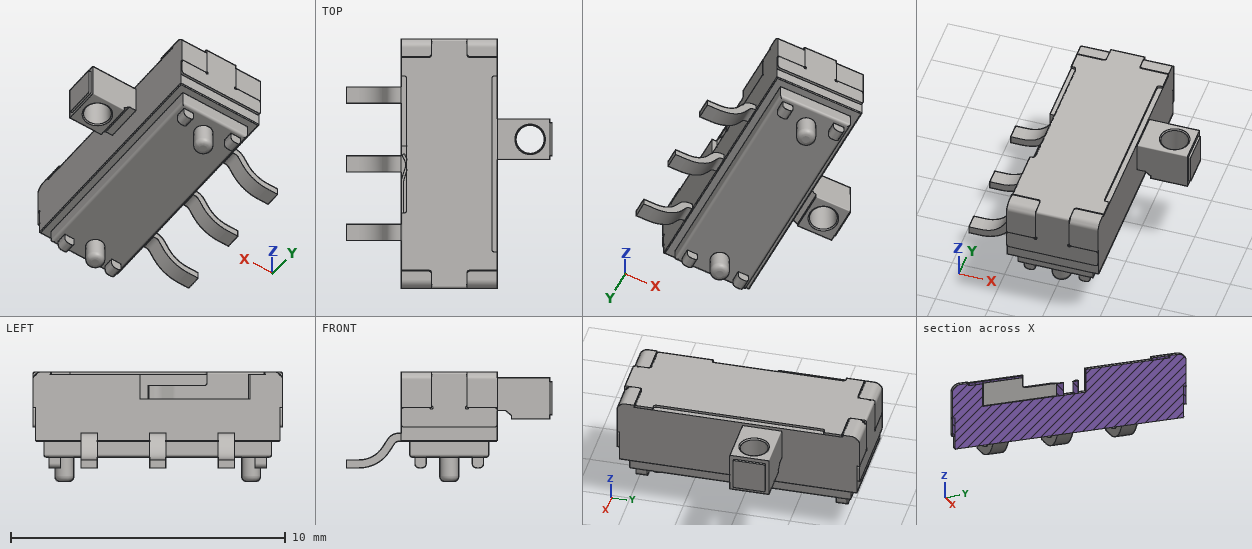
import cadquery as cq
import math


width = 3.5
length = 9.1
top_z = 3.5
sheet = 0.09
half_width = width / 2
half_length = length / 2
body_half_length = half_length - sheet
body_top_z = top_z - sheet
flange_z = 0.97
flange_chamfer = 0.04
bend_clearance = 0.055

base_width = 2.885
base_length = 8.3
base_z = 0.39
base_fillet = 0.1
foot_width = 0.42
foot_length = 0.42
foot_fillet = 0.16
foot_x = 1.05
foot_y = 3.76
peg_diameter = 0.7
peg_y = 3.4
peg_end_z = -0.5
peg_fillet = 0.2

tab_width = 1.29
window_length = 0.67
window_bottom_z = 2.2
window_corner_radius = 0.1
post_gap = 0.04
post_upper_radius = 0.28
post_lower_radius = 0.2
post_flat = 0.055
relief_radius = 0.055

cover_bottom_z = 1.49
bend_radius = 0.09
spring_bend_radius = 0.08
cover_corner_radius = 0.1
notch_depth = 0.2
notch_corner_radius = 0.1
notch_start_y = 3.2
plain_notch_end_y = -3.21
spring_notch_end_y = -1.79

recess_depth = 0.41
recess_start_y = 0.65
recess_end_y = -3.37
recess_bottom_z = 2.52
flap_end_y = -3.31
arm_top_z = 3.0
arm_bend_y = -0.61
arm_peak_y = 0.0
arm_peak_depth = 0.19
arm_tip_y = 0.32
arm_tip_depth = 0.03
arm_peak_radius = 0.41
arm_bend_radius = 0.27
flap_corner_radius = 0.1

slider_size = 1.48
slider_y = 0.89
slider_top_z = 3.29
slider_bottom_z = 1.78
slider_end_x = 3.67
slider_fillet = 0.04
neck_bottom_z = 2.09
neck_end_x = 2.05
step_x = 2.27
step_z = 1.91
slider_hole_x = 2.95
slider_hole_diameter = 1.02
slider_hole_chamfer = 0.05
tip_length = 0.08
tip_size = 1.21
tip_fillet = 0.055

terminal_count = 3
terminal_pitch = 2.5
terminal_width = 0.6
terminal_thickness = 0.3
terminal_end_x = -3.75
terminal_foot_length = 0.47
upper_bend_radius = 0.5
lower_bend_radius = 1.0
terminal_bend_angle = 57.0


def block(x_range, y_range, z_range):
    """Box between two limits on each axis."""
    spans = [(min(r), max(r)) for r in (x_range, y_range, z_range)]
    sizes = [high - low for low, high in spans]
    corner = [low for low, high in spans]
    return cq.Workplane("XY").box(*sizes, centered=False).translate(tuple(corner))


def corner_block(inner_length):
    """Block filling the +X, +Y cover window, from the end inward by inner_length, inner edge rounded."""
    return (
        block(
            (tab_width / 2, half_width),
            (half_length - inner_length, half_length),
            (window_bottom_z, top_z),
        )
        .edges("|Z and <X and <Y")
        .fillet(window_corner_radius)
    )


def at_four_corners(shape):
    """Copies of a +X, +Y corner shape mirrored to all four corners."""
    pair = shape.union(shape.mirror("YZ"))
    return pair.union(pair.mirror("XZ"))


def make_posts():
    """Corner posts whose outer top edge is two arcs with a sloping flat between them."""
    slope = math.radians(45)
    half_slope = slope / 2
    upper_z = top_z - post_upper_radius
    lower_y = half_length - post_lower_radius
    upper_y = lower_y - (post_upper_radius - post_lower_radius) * math.cos(slope) - post_flat
    lower_z = upper_z + (post_upper_radius - post_lower_radius) * math.sin(slope) - post_flat

    def upper_arc(turn):
        return (upper_y + post_upper_radius * math.sin(turn), upper_z + post_upper_radius * math.cos(turn))

    def lower_arc(turn):
        return (lower_y + post_lower_radius * math.cos(turn), lower_z + post_lower_radius * math.sin(turn))

    profile = (
        cq.Workplane("YZ")
        .moveTo(0, top_z)
        .lineTo(*upper_arc(0))
        .threePointArc(upper_arc(half_slope), upper_arc(slope))
        .lineTo(*lower_arc(slope))
        .threePointArc(lower_arc(half_slope), lower_arc(0))
        .lineTo(half_length, window_bottom_z)
        .lineTo(0, window_bottom_z)
        .close()
        .extrude(half_width)
    )
    return at_four_corners(profile.intersect(corner_block(window_length - post_gap)))


def make_feet():
    """Feet at the four corners, rooted in the base above its rounded bottom edge."""
    foot = (
        cq.Workplane("XY")
        .box(foot_width, foot_length, base_z + base_fillet, centered=(True, True, False))
        .edges("|Y and <Z")
        .fillet(foot_fillet)
        .translate((foot_x, foot_y, 0))
    )
    return at_four_corners(foot)


def make_pegs():
    """Round-ended locating pegs, rooted in the base above its rounded bottom edge."""
    return (
        cq.Workplane("XY", origin=(0, 0, peg_end_z))
        .pushPoints([(0, peg_y), (0, -peg_y)])
        .circle(peg_diameter / 2)
        .extrude(base_z + base_fillet - peg_end_z)
        .faces("<Z")
        .edges()
        .fillet(peg_fillet)
    )


def make_housing():
    body = (
        cq.Workplane("XY", origin=(0, 0, flange_z))
        .rect(width, 2 * body_half_length)
        .extrude(body_top_z - flange_z)
        .faces("<Z")
        .edges()
        .chamfer(flange_chamfer)
        .edges("|X and >Z")
        .chamfer(bend_clearance)
    )
    base = (
        cq.Workplane("XY", origin=(0, 0, base_z))
        .rect(base_width, base_length)
        .extrude(flange_z - base_z)
        .faces("<Z")
        .edges()
        .fillet(base_fillet)
    )
    recess = block(
        (-half_width, -half_width + recess_depth),
        (recess_start_y, recess_end_y),
        (recess_bottom_z, body_top_z),
    )
    return body.union(make_posts()).union(base).union(make_feet()).union(make_pegs()).cut(recess)


def cover_notch(side, end_y):
    """Shallow notch in one long edge of the cover top; side is 1 for +X and -1 for -X."""
    inner_edges = "|Z and <X" if side > 0 else "|Z and >X"
    return (
        block(
            (side * half_width, side * (half_width - notch_depth)),
            (notch_start_y, end_y),
            (body_top_z, top_z),
        )
        .edges(inner_edges)
        .fillet(notch_corner_radius)
    )


def upright_edges_near(y):
    """Selector for the vertical edges of the spring arm at one place along it."""
    middle_z = (recess_bottom_z + arm_top_z) / 2
    return cq.selectors.BoxSelector(
        (-half_width - sheet, y - sheet / 2, middle_z - sheet),
        (0, y + sheet / 2, middle_z + sheet),
    )


def make_spring_flap():
    """Flap hanging from the cover top, with an arm whose end is kinked inward."""
    outer_x = -half_width
    inner_x = outer_x + sheet
    flap = block(
        (outer_x, inner_x),
        (spring_notch_end_y, flap_end_y),
        (recess_bottom_z, top_z),
    )
    peak_x = outer_x + arm_peak_depth
    tip_x = outer_x + arm_tip_depth
    arm = (
        cq.Workplane("XY", origin=(0, 0, recess_bottom_z))
        .moveTo(outer_x, spring_notch_end_y)
        .lineTo(outer_x, arm_bend_y)
        .lineTo(peak_x, arm_peak_y)
        .lineTo(tip_x, arm_tip_y)
        .lineTo(tip_x + sheet, arm_tip_y + sheet / 2)
        .lineTo(peak_x + sheet, arm_peak_y)
        .lineTo(inner_x, arm_bend_y)
        .lineTo(inner_x, spring_notch_end_y)
        .close()
        .extrude(arm_top_z - recess_bottom_z)
    )
    arm = arm.edges(upright_edges_near(arm_peak_y)).fillet(arm_peak_radius)
    arm = arm.edges(upright_edges_near(arm_bend_y)).fillet(arm_bend_radius)
    inner_corner = cq.selectors.BoxSelector(
        (outer_x - sheet, spring_notch_end_y - sheet / 2, arm_top_z - sheet / 2),
        (inner_x + sheet, spring_notch_end_y + sheet / 2, arm_top_z + sheet / 2),
    )
    return flap.union(arm).edges("|X").edges(inner_corner).fillet(flap_corner_radius)


def make_cover():
    shell = block((-half_width, half_width), (-half_length, half_length), (cover_bottom_z, top_z))
    shell = shell.edges("|X and >Z").fillet(bend_radius)
    shell = shell.edges("|Y and <Z").fillet(cover_corner_radius)
    cavity = block(
        (-half_width, half_width),
        (-body_half_length, body_half_length),
        (cover_bottom_z, body_top_z),
    )
    reliefs = (
        cq.Workplane("XZ", origin=(0, half_length, window_bottom_z))
        .pushPoints([(tab_width / 2, 0), (-tab_width / 2, 0)])
        .circle(relief_radius)
        .extrude(length)
    )
    cover = (
        shell.cut(cavity)
        .cut(at_four_corners(corner_block(window_length)))
        .cut(reliefs)
        .cut(cover_notch(1, plain_notch_end_y))
        .cut(cover_notch(-1, spring_notch_end_y))
        .union(make_spring_flap())
    )
    ends = cover.edges("|Y").edges(
        cq.selectors.BoxSelector(
            (-width, -length, window_bottom_z - sheet / 2),
            (width, length, window_bottom_z + sheet / 2),
        )
    )
    cover = ends.edges("<X or >X").fillet(cover_corner_radius)
    bend = cq.selectors.BoxSelector(
        (-half_width - sheet / 2, window_length - half_length, top_z - sheet / 2),
        (-half_width + sheet / 2, spring_notch_end_y, top_z + sheet / 2),
    )
    return cover.edges("|Y").edges(bend).fillet(spring_bend_radius)


def make_slider():
    slider = (
        cq.Workplane("XZ", origin=(0, slider_y + slider_size / 2, 0))
        .moveTo(half_width, slider_top_z)
        .lineTo(slider_end_x, slider_top_z)
        .lineTo(slider_end_x, slider_bottom_z)
        .lineTo(step_x, slider_bottom_z)
        .lineTo(step_x, step_z)
        .lineTo(neck_end_x, neck_bottom_z)
        .lineTo(half_width, neck_bottom_z)
        .close()
        .extrude(slider_size)
    )
    slider = slider.edges("|X").edges("<Z or >Z").fillet(slider_fillet)
    middle_z = (slider_top_z + slider_bottom_z) / 2
    tip = (
        cq.Workplane("YZ", origin=(slider_end_x, slider_y, middle_z))
        .rect(tip_size, tip_size)
        .extrude(tip_length)
        .edges("|X")
        .fillet(tip_fillet)
    )
    hole = (
        cq.Workplane("XY", origin=(slider_hole_x, slider_y, slider_bottom_z))
        .circle(slider_hole_diameter / 2)
        .extrude(slider_top_z - slider_bottom_z)
    )
    slider = slider.cut(hole)
    rims = slider.faces(">Z or <Z").edges("%CIRCLE")
    return rims.chamfer(slider_hole_chamfer).union(tip)


def make_terminal(y):
    """Strip that runs along the mounting plane and rises in an S bend to the flange of the housing."""
    angle = math.radians(terminal_bend_angle)
    sine = math.sin(angle)
    cosine = math.cos(angle)
    rise = flange_z
    slope_length = (rise - (upper_bend_radius + lower_bend_radius) * (1 - cosine)) / sine
    lower_x = terminal_end_x + terminal_foot_length
    lower_z = terminal_thickness + lower_bend_radius
    upper_x = lower_x + (upper_bend_radius + lower_bend_radius) * sine + slope_length * cosine
    upper_z = rise + terminal_thickness - upper_bend_radius

    def lower_bend(radius, turn):
        return (lower_x + radius * math.sin(turn), lower_z - radius * math.cos(turn))

    def upper_bend(radius, turn):
        return (upper_x - radius * math.sin(turn), upper_z + radius * math.cos(turn))

    lower_outside = lower_bend_radius + terminal_thickness
    upper_inside = upper_bend_radius - terminal_thickness
    return (
        cq.Workplane("XZ", origin=(0, y + terminal_width / 2, 0))
        .moveTo(terminal_end_x, terminal_thickness)
        .lineTo(*lower_bend(lower_bend_radius, 0))
        .threePointArc(lower_bend(lower_bend_radius, angle / 2), lower_bend(lower_bend_radius, angle))
        .lineTo(*upper_bend(upper_bend_radius, angle))
        .threePointArc(upper_bend(upper_bend_radius, angle / 2), upper_bend(upper_bend_radius, 0))
        .lineTo(-half_width, rise + terminal_thickness)
        .lineTo(-half_width, rise)
        .lineTo(*upper_bend(upper_inside, 0))
        .threePointArc(upper_bend(upper_inside, angle / 2), upper_bend(upper_inside, angle))
        .lineTo(*lower_bend(lower_outside, angle))
        .threePointArc(lower_bend(lower_outside, angle / 2), lower_bend(lower_outside, 0))
        .lineTo(terminal_end_x, 0)
        .close()
        .extrude(terminal_width)
    )


housing = make_housing()
cover = make_cover()
slider = make_slider()
terminals = []
for index in range(terminal_count):
    terminals.append(make_terminal((index - (terminal_count - 1) / 2) * terminal_pitch))

result = cq.Compound.makeCompound(
    [
        housing.solids().val(),
        cover.solids().val(),
        slider.solids().val(),
        *[terminal.val() for terminal in terminals],
    ]
)